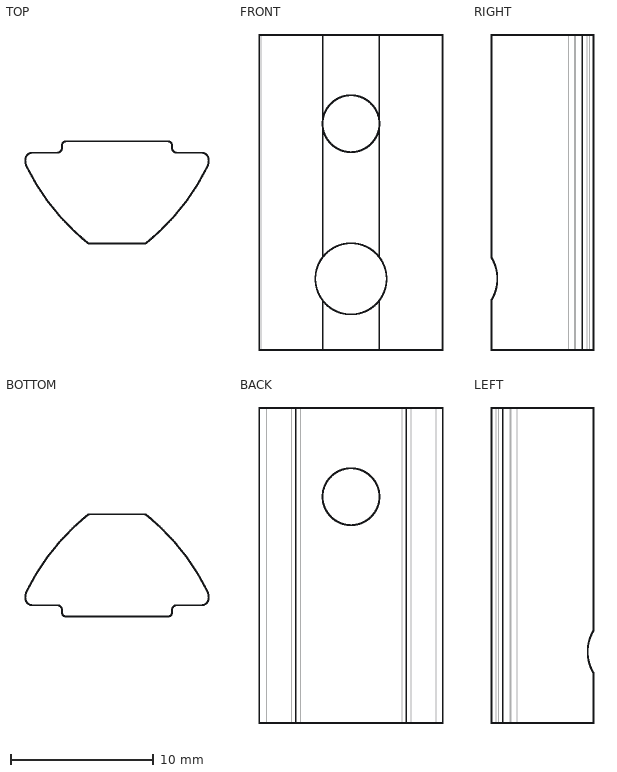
import cadquery as cq
import math

length = 22.15
width = 12.9
depth = 7.2

tongue_width = 7.75
tongue_height = 0.8
nose_width = 3.99
corner_depth = 1.6
flank_radius = 15.73

tongue_round = 0.3
shoulder_round = 0.5
flank_round = 1.0

through_diameter = 3.99
through_height = 15.9
blind_diameter = 5.0
blind_height = 5.0
blind_wall_depth = 3.99
drill_tip_angle = 140.0


def flank_middle():
    """Return the midpoint of the outward-bulging arc on the +X flank."""
    x_outer, y_outer = width / 2, -corner_depth
    x_inner, y_inner = nose_width / 2, -depth
    dx = x_inner - x_outer
    dy = y_inner - y_outer
    chord = math.hypot(dx, dy)
    bulge = flank_radius - math.sqrt(flank_radius**2 - (chord / 2) ** 2)
    return (
        (x_outer + x_inner) / 2 - bulge * dy / chord,
        (y_outer + y_inner) / 2 + bulge * dx / chord,
    )


def round_edges(body, x, y, radius):
    """Round the mirrored pair of lengthwise edges at +/-x and y."""
    pick = 0.02
    for side in (-1, 1):
        box = cq.selectors.BoxSelector(
            (side * x - pick, y - pick, 0),
            (side * x + pick, y + pick, length),
        )
        body = body.edges("|Z").edges(box).fillet(radius)
    return body


def make_bar():
    """Extrude the tongued section and round its lengthwise edges."""
    x_mid, y_mid = flank_middle()
    bar = (
        cq.Workplane("XY")
        .moveTo(-tongue_width / 2, 0)
        .lineTo(tongue_width / 2, 0)
        .lineTo(tongue_width / 2, -tongue_height)
        .lineTo(width / 2, -tongue_height)
        .lineTo(width / 2, -corner_depth)
        .threePointArc((x_mid, y_mid), (nose_width / 2, -depth))
        .lineTo(-nose_width / 2, -depth)
        .threePointArc((-x_mid, y_mid), (-width / 2, -corner_depth))
        .lineTo(-width / 2, -tongue_height)
        .lineTo(-tongue_width / 2, -tongue_height)
        .close()
        .extrude(length)
    )
    bar = round_edges(bar, width / 2, -corner_depth, flank_round)
    bar = round_edges(bar, width / 2, -tongue_height, shoulder_round)
    bar = round_edges(bar, tongue_width / 2, -tongue_height, tongue_round)
    return round_edges(bar, tongue_width / 2, 0, tongue_round)


def through_hole():
    """Cylinder running from the nose out through the tongue."""
    return (
        cq.Workplane("XZ", origin=(0, 0, through_height))
        .circle(through_diameter / 2)
        .extrude(depth)
    )


def blind_hole():
    """Drilled hole with a conical bottom, revolved about its own axis."""
    radius = blind_diameter / 2
    tip_depth = radius / math.tan(math.radians(drill_tip_angle / 2))
    y_wall_end = -depth + blind_wall_depth
    return (
        cq.Workplane("XY", origin=(0, 0, blind_height))
        .moveTo(0, -depth)
        .lineTo(radius, -depth)
        .lineTo(radius, y_wall_end)
        .lineTo(0, y_wall_end + tip_depth)
        .close()
        .revolve(360, (0, 0, 0), (0, 1, 0))
    )


result = make_bar().cut(through_hole()).cut(blind_hole())